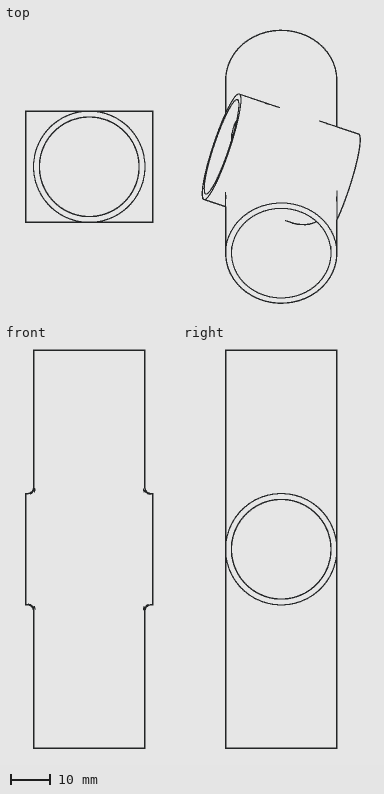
import cadquery as cq

run_length = 100.0
branch_length = 32.0
outer_diameter = 28.0
wall_thickness = 1.5
outer_blend_radius = 1.5

bore_diameter = outer_diameter - 2 * wall_thickness
inner_blend_radius = outer_blend_radius + wall_thickness


def elbow(diameter, blend_radius):
    """Quarter of a solid cross: its +X arm and +Z arm, with the corner between them rounded."""
    radius = diameter / 2
    run = cq.Workplane("XY").circle(radius).extrude(run_length / 2, both=True)
    branch = cq.Workplane("YZ").circle(radius).extrude(branch_length / 2, both=True)
    quadrant = cq.Workplane("XY").box(
        branch_length, diameter * 2, run_length, centered=(False, True, False)
    )
    quarter = run.union(branch).intersect(quadrant)

    seam = [
        edge
        for edge in quarter.edges("%ELLIPSE").vals()
        if edge.Center().x > blend_radius and edge.Center().z > blend_radius
    ]
    return quarter.newObject(seam).fillet(blend_radius)


outer_elbow = elbow(outer_diameter, outer_blend_radius)
bore_elbow = elbow(bore_diameter, inner_blend_radius)
quarter_fitting = outer_elbow.cut(bore_elbow)
half_fitting = quarter_fitting.union(quarter_fitting.mirror("YZ"))
fitting = half_fitting.union(half_fitting.mirror("XY"))
result = cq.Workplane(fitting.solids().val())